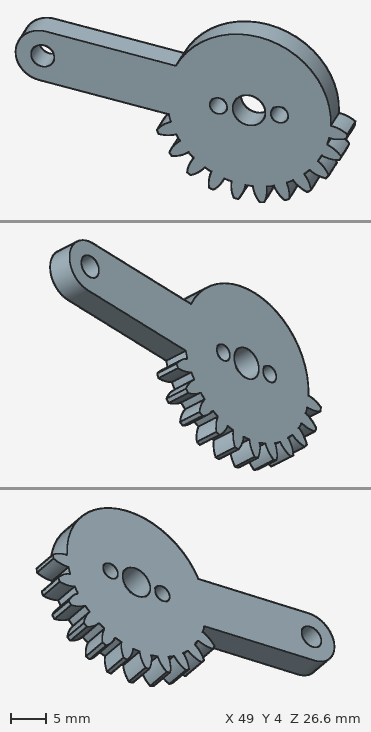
import cadquery as cq
import math

thickness = 4.0

root_radius = 12.1
tip_radius = 14.6
full_circle_teeth = 24
tooth_count = 11
tooth_pitch = 360 / full_circle_teeth
first_tooth_angle = -tooth_pitch / 2

root_half_width = 1.05
middle_radius = 13.5
middle_half_width = 0.85
tip_half_width = 0.35
tooth_overlap = 0.5

arm_length = 30.75
arm_half_width = 4.0
arm_tilt = 7.4

axle_hole_radius = 2.4
screw_hole_radius = 1.27
screw_hole_offset = 4.5
pin_hole_radius = 1.7


def plate_sketch():
    return cq.Workplane("XZ", origin=(0, thickness / 2, 0))


def cylinder(x, z, radius):
    return plate_sketch().center(x, z).circle(radius).extrude(thickness)


def make_tooth(angle):
    """Tooth with bowed flanks, pointing away from the axis at the given angle."""
    corner_radius = math.sqrt(tip_radius**2 - tip_half_width**2)
    tooth = (
        plate_sketch()
        .moveTo(root_radius - tooth_overlap, -root_half_width)
        .lineTo(root_radius, -root_half_width)
        .threePointArc((middle_radius, -middle_half_width), (corner_radius, -tip_half_width))
        .threePointArc((tip_radius, 0), (corner_radius, tip_half_width))
        .threePointArc((middle_radius, middle_half_width), (root_radius, root_half_width))
        .lineTo(root_radius - tooth_overlap, root_half_width)
        .close()
        .extrude(thickness)
    )
    return tooth.rotate((0, 0, 0), (0, -1, 0), angle)


def make_arm(pin_x, pin_z):
    """Straight bar from the gear axis to a rounded end around the pin."""
    bar = (
        plate_sketch()
        .center(pin_x / 2, pin_z / 2)
        .transformed(rotate=(0, 0, -arm_tilt))
        .rect(arm_length, 2 * arm_half_width)
        .extrude(thickness)
    )
    return bar.union(cylinder(pin_x, pin_z, arm_half_width))


pin_x = -arm_length * math.cos(math.radians(arm_tilt))
pin_z = arm_length * math.sin(math.radians(arm_tilt))

result = cylinder(0, 0, root_radius).union(make_arm(pin_x, pin_z))
for index in range(tooth_count):
    result = result.union(make_tooth(first_tooth_angle - index * tooth_pitch))

result = result.cut(cylinder(0, 0, axle_hole_radius))
for side in (-1, 1):
    result = result.cut(cylinder(side * screw_hole_offset, 0, screw_hole_radius))
result = result.cut(cylinder(pin_x, pin_z, pin_hole_radius))